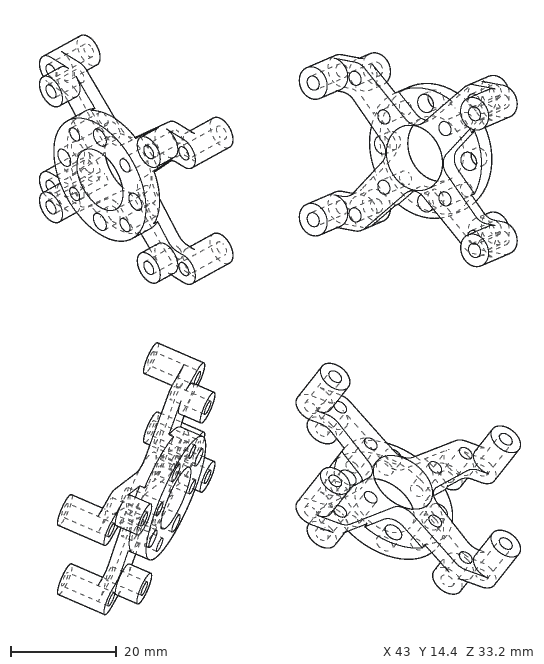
import cadquery as cq
import math

overall_width = 42.95
overall_height = 33.25
overall_depth = 14.35

hub_radius = 12.7
bore_radius = 6.35
hub_thickness = 3.55
bolt_circle_radius = 9.8
large_hole_diameter = 3.55
small_hole_diameter = 2.75

boss_radius = 3.18
boss_length = 4.55
arm_thickness = 2.8
arm_edge_angle = math.radians(42.4)
web_fillet = 3.0
elbow_fillet = 3.35

arm_back = boss_length + arm_thickness
boss_offset = overall_height / 2 - boss_radius
post_x = overall_width / 2 - boss_radius

edge_slope = math.tan(arm_edge_angle)
web_corner = boss_offset * (1 - edge_slope) + boss_radius / math.cos(arm_edge_angle)
arm_top = boss_offset + boss_radius
arm_bottom = boss_offset - boss_radius
shoulder_x = (arm_top - web_corner) / edge_slope
elbow_x = web_corner + arm_bottom * edge_slope

quadrants = [(1, 1), (-1, 1), (-1, -1), (1, -1)]
boss_centers = [(sx * boss_offset, sz * boss_offset) for sx, sz in quadrants]
post_centers = [(sx * post_x, sz * boss_offset) for sx, sz in quadrants]


def cylinders(centers, radius, start, end):
    """Cylinders along Y at (x, z) centers, from y = start to y = end."""
    plane = cq.Workplane("XZ", origin=(0, start, 0))
    return plane.pushPoints(centers).circle(radius).extrude(start - end)


def round_corners(body, corners, radius):
    """Round the edges parallel to Y that pass through the (x, z) corners."""
    middle = (hub_thickness + arm_back) / 2
    for x, z in corners:
        edge = cq.NearestToPointSelector((x, middle, z))
        body = body.edges("|Y").edges(edge).fillet(radius)
    return body


def make_arms():
    """Four-armed plate, cut back in front outside the hub circle."""
    arm = [
        (0, web_corner),
        (shoulder_x, arm_top),
        (post_x, arm_top),
        (post_x, arm_bottom),
        (elbow_x, arm_bottom),
        (web_corner, 0),
    ]
    right = arm + [(x, -z) for x, z in reversed(arm[:-1])]
    outline = right + [(-x, z) for x, z in reversed(right[1:-1])]
    plane = cq.Workplane("XZ", origin=(0, hub_thickness, 0))
    arms = plane.polyline(outline).close().extrude(hub_thickness - arm_back)

    web_corners = [(0, web_corner), (0, -web_corner), (web_corner, 0), (-web_corner, 0)]
    shoulders = [(sx * shoulder_x, sz * arm_top) for sx, sz in quadrants]
    elbows = [(sx * elbow_x, sz * arm_bottom) for sx, sz in quadrants]
    arms = round_corners(arms, web_corners, web_fillet)
    arms = round_corners(arms, shoulders, boss_radius)
    arms = round_corners(arms, elbows, elbow_fillet)

    hub_zone = cylinders([(0, 0)], hub_radius, hub_thickness, boss_length)
    relief = cq.Workplane("XZ", origin=(0, hub_thickness, 0))
    relief = relief.rect(overall_width, overall_height).extrude(hub_thickness - boss_length)
    return arms.cut(relief.cut(hub_zone))


def bolt_circle(first_angle):
    """Four evenly spaced (x, z) centers on the hub bolt circle."""
    angles = [math.radians(first_angle + 90 * i) for i in range(4)]
    return [(bolt_circle_radius * math.cos(a), bolt_circle_radius * math.sin(a)) for a in angles]


result = cylinders([(0, 0)], hub_radius, 0, hub_thickness)
result = result.union(make_arms())
result = result.union(cylinders(boss_centers, boss_radius, 0, arm_back))
result = result.union(cylinders(post_centers, boss_radius, boss_length, overall_depth))

small_holes = bolt_circle(45) + boss_centers + post_centers
result = result.cut(cylinders([(0, 0)], bore_radius, 0, overall_depth))
result = result.cut(cylinders(bolt_circle(0), large_hole_diameter / 2, 0, overall_depth))
result = result.cut(cylinders(small_holes, small_hole_diameter / 2, 0, overall_depth))